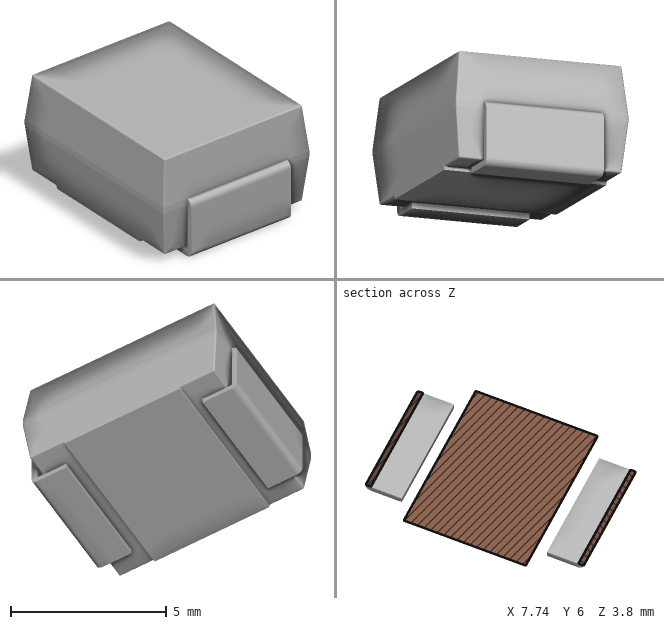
import cadquery as cq
import math

overall_length = 7.74
overall_height = 3.8
housing_length = 7.29
housing_width = 6.0
housing_bottom = 0.25
band_bottom = 1.91
band_top = 2.13
draft_angle = 6.0
edge_radius = 0.055

pad_length = 4.69
pad_bottom = 0.14

lead_width = 4.09
lead_thickness = 0.2
lead_top = band_top
foot_length = 1.3
lead_reach = (overall_length - housing_length) / 2
bend_radius = lead_reach
inner_bend_radius = bend_radius - lead_thickness


def tapered_block(length, width, start, end):
    """Block that starts full size at one height and narrows with the draft to the other."""
    inset = abs(end - start) * math.tan(math.radians(draft_angle))
    return (
        cq.Workplane("XY", origin=(0, 0, start))
        .rect(length, width)
        .workplane(offset=end - start)
        .rect(length - 2 * inset, width - 2 * inset)
        .loft(ruled=True)
    )


def make_housing():
    """Housing with an upright band, drafted upper and lower halves and a standoff pad."""
    band = cq.Workplane("XY", origin=(0, 0, band_bottom)).rect(housing_length, housing_width)
    band = band.extrude(band_top - band_bottom)
    upper = tapered_block(housing_length, housing_width, band_top, overall_height)
    lower = tapered_block(housing_length, housing_width, band_bottom, housing_bottom)
    shell = band.union(upper).union(lower)
    shell = shell.edges("not(|X or |Y)").fillet(edge_radius)
    shell = shell.faces(">Z or <Z").edges().fillet(edge_radius)

    pad = tapered_block(pad_length, housing_width, band_bottom, pad_bottom)
    return shell.union(pad, clean=False)


def make_lead(side):
    """C-shaped lead at one end: top bend on the housing wall, upright strip, bend and foot."""
    outer = overall_length / 2
    inner = outer - lead_thickness
    bend = outer - bend_radius
    toe = outer - foot_length
    diagonal = math.sqrt(0.5)
    outer_mid = bend_radius * diagonal
    inner_mid = inner_bend_radius * diagonal
    top_centre = lead_top - bend_radius
    bottom_centre = bend_radius
    profile = (
        cq.Workplane("XZ", origin=(0, lead_width / 2, 0))
        .moveTo(bend, lead_top)
        .threePointArc((bend + outer_mid, top_centre + outer_mid), (outer, top_centre))
        .lineTo(outer, bottom_centre)
        .threePointArc((bend + outer_mid, bottom_centre - outer_mid), (bend, 0))
        .lineTo(toe, 0)
        .lineTo(toe, lead_thickness)
        .lineTo(bend, lead_thickness)
        .threePointArc((bend + inner_mid, bottom_centre - inner_mid), (inner, bottom_centre))
        .lineTo(inner, top_centre)
        .threePointArc((bend + inner_mid, top_centre + inner_mid), (bend, lead_top - lead_thickness))
        .close()
    )
    lead = profile.extrude(lead_width)
    return lead if side > 0 else lead.mirror("YZ")


housing = make_housing()
leads = [make_lead(side) for side in (-1, 1)]

result = cq.Compound.makeCompound([housing.val(), *[lead.val() for lead in leads]])